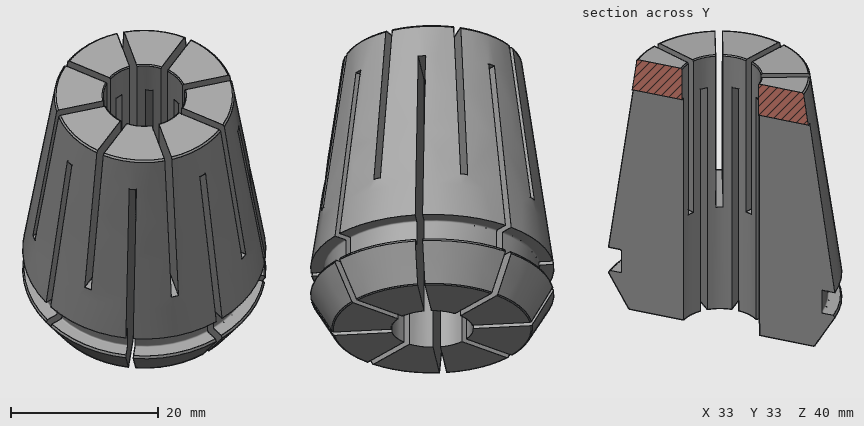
import cadquery as cq
import math

length = 40.0
max_radius = 33.0 / 2
bore_radius = 11.1 / 2
edge_break = 0.25
bore_edge_break = 0.15

taper_angle = 8.0
taper_bottom_z = 9.1

neck_radius = 14.6
groove_fillet = 0.2
flange_top_z = 5.5
flange_angle = 30.0
flange_rim_break = 0.35
flange_rim_inset = 0.2
bottom_edge_break = 0.1

slots_per_end = 8
slot_width = 1.0
bottom_slot_top_z = 35.0
top_slot_floor_z = 16.0

slot_pitch = 360.0 / slots_per_end
slot_reach = max_radius + 0.4


def taper_radius(z):
    """Radius of the long cone at height z."""
    return max_radius - (z - taper_bottom_z) * math.tan(math.radians(taper_angle))


def collet_body():
    """Revolved collet with a through bore, broken edges and a filleted groove."""
    rim_z = flange_top_z - flange_rim_break
    flange_slope = math.tan(math.radians(flange_angle))
    bottom_radius = max_radius - rim_z * flange_slope
    cone_radius = bottom_radius + bottom_edge_break * flange_slope
    shoulder_z = length - edge_break
    shoulder_radius = taper_radius(shoulder_z)
    return (
        cq.Workplane("XZ")
        .moveTo(bore_radius, 0)
        .lineTo(bottom_radius - bottom_edge_break, 0)
        .lineTo(cone_radius, bottom_edge_break)
        .lineTo(max_radius, rim_z)
        .lineTo(max_radius - flange_rim_inset, flange_top_z)
        .lineTo(neck_radius + groove_fillet, flange_top_z)
        .radiusArc((neck_radius, flange_top_z + groove_fillet), groove_fillet)
        .lineTo(neck_radius, taper_bottom_z - groove_fillet)
        .radiusArc((neck_radius + groove_fillet, taper_bottom_z), groove_fillet)
        .lineTo(max_radius, taper_bottom_z)
        .lineTo(shoulder_radius, shoulder_z)
        .lineTo(shoulder_radius - edge_break, length)
        .lineTo(bore_radius + bore_edge_break, length)
        .lineTo(bore_radius, length - bore_edge_break)
        .close()
        .revolve(360, (0, 0), (0, 1))
    )


def slot_ring(bottom_z, top_z, first_angle):
    """Evenly spaced radial slots between two heights."""
    slots = cq.Workplane("XY")
    for index in range(slots_per_end):
        slot = (
            cq.Workplane("XY", origin=(0, 0, bottom_z))
            .rect(slot_reach, slot_width)
            .extrude(top_z - bottom_z)
            .translate((slot_reach / 2, 0, 0))
            .rotate((0, 0, 0), (0, 0, 1), first_angle + index * slot_pitch)
        )
        slots = slots.add(slot)
    return slots.combine()


bottom_slots = slot_ring(0, bottom_slot_top_z, 0)
top_slots = slot_ring(top_slot_floor_z, length, slot_pitch / 2)

result = collet_body().cut(bottom_slots).cut(top_slots)